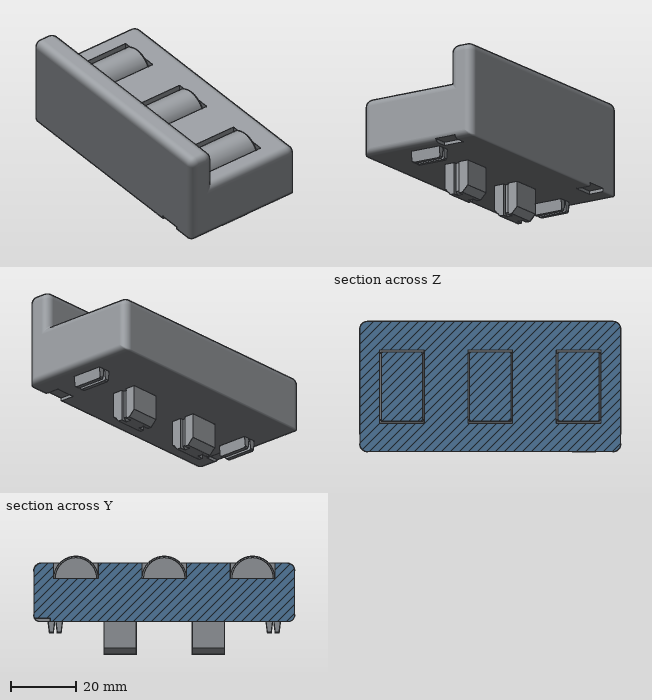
import cadquery as cq

length = 80.0
width = 40.0
wall_height = 30.0
shelf_height = 18.0
wall_thickness = 8.0
edge_radius = 2.5
bottom_end_radius = 2.0
bottom_long_radius = 0.5
cove_radius = 0.5

roller_pitch = 27.0
roller_radius = 6.8
roller_length = 21.3
roller_rise = 2.1
roller_chamfer = 0.5
pocket_length = 22.3

notch_width = 7.0
notch_height = 1.0
notch_depth = 5.0
front_notch_x = 28.6
side_notch_y = -10.2

peg_drop = 10.0
peg_size_x = 10.0
peg_size_y = 8.4
peg_chamfer = 2.0
peg_slot = 1.8
core_radius = 4.0
core_chamfer = 1.0

blade_drop = 3.5
blade_size_y = 10.3
blade_top = 2.1
blade_tip = 1.2
blade_chamfer = 0.4
blade_positions = (32.2, 34.6)

wall_back_y = wall_thickness - width / 2


def make_housing():
    profile = [
        (-width / 2, 0),
        (width / 2, 0),
        (width / 2, shelf_height),
        (wall_back_y, shelf_height),
        (wall_back_y, wall_height),
        (-width / 2, wall_height),
    ]
    left_end = cq.Workplane("YZ", origin=(-length / 2, 0, 0))
    housing = left_end.polyline(profile).close().extrude(length)

    def long_edge(y, z):
        """Select the edge that runs along X through the given profile corner."""
        return cq.selectors.BoxSelector((-0.8, y - 0.8, z - 0.8), (0.8, y + 0.8, z + 0.8))

    rounded = housing.edges("|Z or (|Y and (not <Z))")
    for corner in (profile[2], profile[4], profile[5]):
        rounded = rounded.add(housing.edges(long_edge(*corner)))
    housing = rounded.fillet(edge_radius)

    envelope = cq.Workplane("XY").box(length, width, wall_height, centered=(True, True, False))
    envelope = envelope.faces("<Z").edges("|Y").fillet(bottom_end_radius)
    housing = housing.intersect(envelope)

    for corner in (profile[0], profile[1]):
        housing = housing.edges(long_edge(*corner)).fillet(bottom_long_radius)
    return housing.edges(long_edge(wall_back_y, shelf_height)).fillet(cove_radius)


def make_roller_pocket():
    depth = roller_radius - roller_rise
    pocket = cq.Workplane("XY").box(
        2 * roller_radius, pocket_length, depth, centered=(True, True, False)
    )
    return pocket.translate((0, 0, shelf_height - depth))


def make_roller():
    back_end = cq.Workplane("XZ", origin=(0, roller_length / 2, 0))
    roller = back_end.circle(roller_radius).extrude(roller_length)
    roller = roller.faces("<Y or >Y").chamfer(roller_chamfer)
    return roller.translate((0, 0, shelf_height + roller_rise - roller_radius))


def make_peg():
    peg = cq.Workplane("XY").box(peg_size_x, peg_size_y, peg_drop, centered=(True, True, False))
    peg = peg.faces("<Z").edges("|X").chamfer(peg_chamfer)
    slot = cq.Workplane("XY").box(peg_size_x, peg_slot, peg_drop, centered=(True, True, False))
    core = cq.Workplane("XY").circle(core_radius).extrude(peg_drop)
    core = core.faces("<Z").chamfer(core_chamfer).intersect(slot)
    return peg.cut(slot).union(core).translate((0, 0, -peg_drop))


def make_blade():
    profile = [
        (-blade_top / 2, 0),
        (blade_top / 2, 0),
        (blade_tip / 2, -blade_drop),
        (-blade_tip / 2, -blade_drop),
    ]
    blade = cq.Workplane("XZ").polyline(profile).close().extrude(blade_size_y / 2, both=True)
    return blade.faces("<Z").edges("<Y or >Y").chamfer(blade_chamfer)


result = make_housing()

for x in (-roller_pitch, 0, roller_pitch):
    result = result.cut(make_roller_pocket().translate((x, 0, 0)))
    result = result.union(make_roller().translate((x, 0, 0)))

front_notch = cq.Workplane("XY").box(notch_width, 2 * notch_depth, 2 * notch_height)
side_notch = cq.Workplane("XY").box(2 * notch_depth, notch_width, 2 * notch_height)
result = result.cut(front_notch.translate((front_notch_x, -width / 2, 0)))
result = result.cut(side_notch.translate((-length / 2, side_notch_y, 0)))

for side in (-1, 1):
    result = result.union(make_peg().translate((side * roller_pitch / 2, 0, 0)))
    for x in blade_positions:
        result = result.union(make_blade().translate((side * x, 0, 0)))